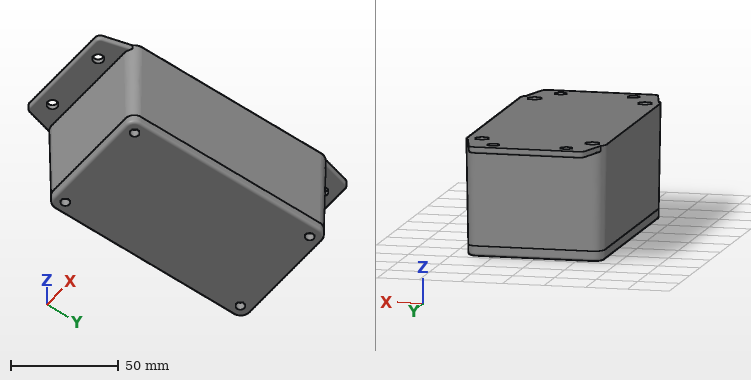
import cadquery as cq
import math

total_height = 55.0
lid_height = 5.0
housing_height = total_height - lid_height
body_width = 67.25
body_length = 117.25
corner_radius = 6.0
draft_angle = 1.0
lid_edge_radius = 1.5

parting_setback = housing_height * math.tan(math.radians(draft_angle))

flange_reach = 15.0
flange_thickness = 3.0
flange_tip_width = 54.7
flange_side_angle = 15.0
flange_corner_radius = 3.0
flange_edge_radius = 1.0
flange_hole_diameter = 5.5
flange_hole_spacing_x = 35.0
flange_hole_spacing_y = 132.0

screw_spacing_x = 53.0
screw_spacing_y = 103.0
screw_access_diameter = 6.5
screw_hole_diameter = 4.5


def corner_points(spacing_x, spacing_y):
    """Four points of a rectangle centred on the Z axis."""
    return [(sx * spacing_x / 2, sy * spacing_y / 2) for sx in (-1, 1) for sy in (-1, 1)]


def rounded_rectangle(width, length, radius):
    """Flat outline with rounded corners, centred on the origin."""
    return cq.Sketch().rect(width, length).vertices().fillet(radius)


def make_flange_plate():
    """Plate spanning both flanges, its sides kept inside the body between them."""
    tip_y = body_length / 2 + flange_reach
    root_y = body_length / 2 - corner_radius
    tip_x = flange_tip_width / 2
    root_x = tip_x + (tip_y - root_y) * math.tan(math.radians(flange_side_angle))
    waist_x = body_width / 2 - corner_radius
    outline = [
        (tip_x, tip_y),
        (root_x, root_y),
        (waist_x, root_y),
        (waist_x, -root_y),
        (root_x, -root_y),
        (tip_x, -tip_y),
    ]
    outline += [(-x, y) for x, y in reversed(outline)]
    plate = cq.Workplane("XY").polyline(outline).close().extrude(flange_thickness)
    tip_corners = plate.edges("|Z and (>Y or <Y)")
    plate = tip_corners.fillet(flange_corner_radius)
    plate = plate.faces("<Z").edges().fillet(flange_edge_radius)
    return plate.translate((0, 0, total_height - flange_thickness))


def make_housing():
    """Drafted block with two mounting flanges and tapered screw access holes."""
    top = cq.Workplane("XY").workplane(offset=total_height)
    block = top.placeSketch(rounded_rectangle(body_width, body_length, corner_radius))
    block = block.extrude(-housing_height, taper=draft_angle)
    access_holes = top.pushPoints(corner_points(screw_spacing_x, screw_spacing_y))
    access_holes = access_holes.circle(screw_access_diameter / 2)
    access_holes = access_holes.extrude(-housing_height, taper=draft_angle)
    flange_holes = top.pushPoints(corner_points(flange_hole_spacing_x, flange_hole_spacing_y))
    flange_holes = flange_holes.circle(flange_hole_diameter / 2).extrude(-flange_thickness)
    return block.union(make_flange_plate()).cut(access_holes).cut(flange_holes)


def make_lid():
    """Straight-sided cover with a rounded outer edge and four screw holes."""
    outline = rounded_rectangle(
        body_width - 2 * parting_setback,
        body_length - 2 * parting_setback,
        corner_radius - parting_setback,
    )
    cover = cq.Workplane("XY").placeSketch(outline).extrude(lid_height)
    cover = cover.faces("<Z").edges().fillet(lid_edge_radius)
    screw_holes = cq.Workplane("XY").pushPoints(corner_points(screw_spacing_x, screw_spacing_y))
    screw_holes = screw_holes.circle(screw_hole_diameter / 2).extrude(lid_height)
    return cover.cut(screw_holes)


housing = make_housing()
lid = make_lid()
result = cq.Compound.makeCompound([housing.val(), lid.val()])